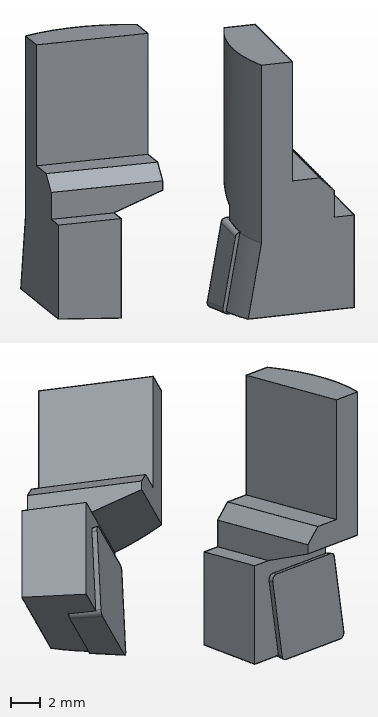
import cadquery as cq
import math


HEIGHT = 18.8
DEPTH = 8.0
LENGTH = 8.85
NOSE_X = 1.45
NOSE_EDGE_X = 2.24
STEM_RIGHT_X = 4.45
SHOULDER_Z = 10.26
SHOULDER_RIGHT_X = 7.43
SHOULDER_CHAMFER = 1.03
SHELF_Z = 7.33
FOOT_DEPTH = 4.51
OVERHANG_BACK_Z = 8.57
FOLD_Z = 6.02
LEAN_ANGLE = 10
BASE_FRONT_Z = 0.7
BASE_ANGLE = 5

INSERT_ANGLE = 80
INSERT_HEIGHT = 6.35
INSERT_CORNER_RADIUS = 0.4
INSERT_BACK_Y = 4.89
INSERT_FRONT_Y = 2.54
INSERT_CLEARANCE_ANGLE = 7


def tan(angle):
    return math.tan(math.radians(angle))


def make_insert():
    side = INSERT_HEIGHT / math.sin(math.radians(INSERT_ANGLE))
    top_shift = INSERT_HEIGHT / tan(INSERT_ANGLE)
    tip_x = INSERT_CORNER_RADIUS * (1 - 1 / tan(INSERT_ANGLE / 2))
    sharp_insert = (
        cq.Workplane("XZ", origin=(0, INSERT_BACK_Y, 0))
        .polyline([
            (tip_x, 0),
            (tip_x + side, 0),
            (tip_x + side + top_shift, INSERT_HEIGHT),
            (tip_x + top_shift, INSERT_HEIGHT),
        ])
        .close()
        .extrude(INSERT_BACK_Y - INSERT_FRONT_Y, taper=INSERT_CLEARANCE_ANGLE)
    )
    return sharp_insert.edges("not #Y").fillet(INSERT_CORNER_RADIUS)


def nose_section(z, shift):
    """Plan outline with the curved left face, moved left by shift at height z."""
    return (
        cq.Workplane("XY", origin=(0, 0, z))
        .moveTo(LENGTH, 0)
        .lineTo(NOSE_EDGE_X - shift, 0)
        .threePointArc((NOSE_X - shift, DEPTH / 2), (NOSE_EDGE_X - shift, DEPTH))
        .lineTo(LENGTH, DEPTH)
        .close()
    )


def make_curved_block():
    """Full-height block, upright above the fold and leaning outward below it."""
    upright = nose_section(FOLD_Z, 0).extrude(HEIGHT - FOLD_Z)
    lower_wire = nose_section(0, FOLD_Z * tan(LEAN_ANGLE)).val()
    fold_wire = nose_section(FOLD_Z, 0).val()
    leaning = cq.Workplane(cq.Solid.makeLoft([lower_wire, fold_wire], True))
    return upright.union(leaning)


def make_stepped_profile():
    """Front outline of the stem, chamfered shoulder and shelf, through the full depth."""
    return (
        cq.Workplane("XZ")
        .moveTo(0, 0)
        .lineTo(LENGTH, 0)
        .lineTo(LENGTH, SHELF_Z)
        .lineTo(SHOULDER_RIGHT_X, SHELF_Z)
        .lineTo(SHOULDER_RIGHT_X, SHOULDER_Z - SHOULDER_CHAMFER)
        .lineTo(SHOULDER_RIGHT_X - SHOULDER_CHAMFER, SHOULDER_Z)
        .lineTo(STEM_RIGHT_X, SHOULDER_Z)
        .lineTo(STEM_RIGHT_X, HEIGHT)
        .lineTo(0, HEIGHT)
        .close()
        .extrude(-DEPTH)
    )


def make_side_profile():
    """Side outline with the sloping base, shallow foot and overhang, through the full length."""
    return (
        cq.Workplane("YZ")
        .moveTo(0, BASE_FRONT_Z)
        .lineTo(FOOT_DEPTH, BASE_FRONT_Z - FOOT_DEPTH * tan(BASE_ANGLE))
        .lineTo(FOOT_DEPTH, SHELF_Z)
        .lineTo(DEPTH, OVERHANG_BACK_Z)
        .lineTo(DEPTH, HEIGHT)
        .lineTo(0, HEIGHT)
        .close()
        .extrude(LENGTH)
    )


def make_holder(insert):
    block = make_curved_block().intersect(make_stepped_profile()).intersect(make_side_profile())
    return block.cut(insert)


insert = make_insert()
holder = make_holder(insert)

result = cq.Compound.makeCompound([holder.solids().val(), insert.solids().val()])